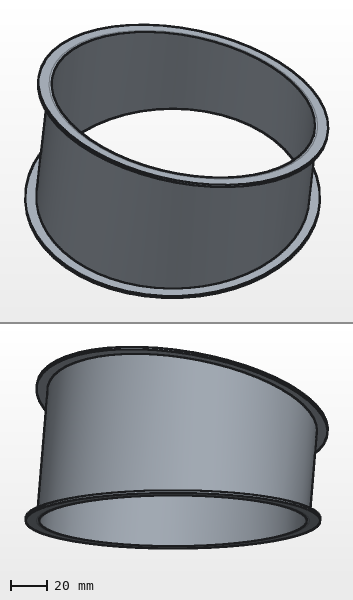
import cadquery as cq
import math

FLANGE_DIAMETER = 163.5
FLANGE_THICKNESS = 1.5
TUBE_OUTER_DIAMETER = 151.5
WALL_THICKNESS = 1.5
TILT_ANGLE = 15.0
UPPER_FACE_CENTRE_HEIGHT = 65.0

TUBE_INNER_DIAMETER = TUBE_OUTER_DIAMETER - 2 * WALL_THICKNESS
UPPER_FACE_CENTRE_Y = UPPER_FACE_CENTRE_HEIGHT * math.tan(math.radians(TILT_ANGLE / 2))

LOWER_PLANE = cq.Plane.XY()
UPPER_PLANE = cq.Plane(
    origin=(0, UPPER_FACE_CENTRE_Y, UPPER_FACE_CENTRE_HEIGHT),
    xDir=(1, 0, 0),
    normal=(0, math.sin(math.radians(TILT_ANGLE)), math.cos(math.radians(TILT_ANGLE))),
)


def end_circle(plane, diameter):
    """Circular wire centred on an end plane."""
    return cq.Workplane(plane).circle(diameter / 2).wires().val()


def leaning_rod(diameter):
    """Solid with straight sides joining equal circles on the two end planes."""
    ends = [end_circle(LOWER_PLANE, diameter), end_circle(UPPER_PLANE, diameter)]
    return cq.Workplane("XY").add(cq.Solid.makeLoft(ends, ruled=True))


def flange_disc(plane, thickness):
    """Flange blank with its outer face on an end plane; a negative thickness extends below it."""
    return cq.Workplane(plane).circle(FLANGE_DIAMETER / 2).extrude(thickness)


lower_flange = flange_disc(LOWER_PLANE, FLANGE_THICKNESS)
upper_flange = flange_disc(UPPER_PLANE, -FLANGE_THICKNESS)

body = leaning_rod(TUBE_OUTER_DIAMETER)
body = body.union(lower_flange, clean=False).union(upper_flange, clean=False)
result = body.cut(leaning_rod(TUBE_INNER_DIAMETER), clean=False)